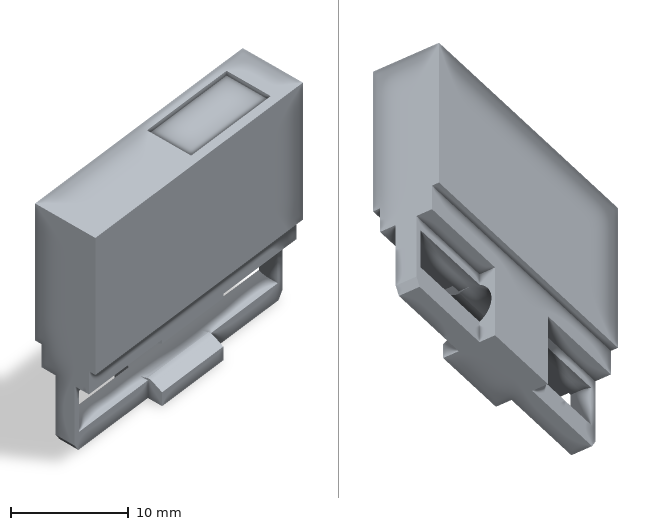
import cadquery as cq
import math

length = 26.8
housing_width = 6.8
total_height = 25.5
neck_width = 5.35
neck_top = 10.08
neck_bottom = 7.48

web_width = 2.15
block_length = 7.9
web_chamfer_length = 0.48
web_chamfer_height = 0.8

slot_radius = 2.3
slot_centre_z = 4.3
lip_start_x = 1.02
lip_crest_x = 1.4
lip_crest_half_height = 2.077
flare_start_x = 1.75
flare_start_half_height = 2.238
flare_half_height = 2.73

web_end_wall = 0.6

recess_width = 4.98
recess_length = 10.26
recess_centre_y = 5.15
recess_depth = 0.54


def box_between(width, box_length, bottom, top):
    """Box centred in X and Y, spanning two heights."""
    box = cq.Workplane("XY").box(width, box_length, top - bottom, centered=(True, True, False))
    return box.translate((0, 0, bottom))


def make_web():
    """Thin plate with bevelled lower corners, reaching up to the neck."""
    half_length = length / 2
    bevel_y = half_length - web_chamfer_length
    outline = [
        (-bevel_y, 0),
        (bevel_y, 0),
        (half_length, web_chamfer_height),
        (half_length, neck_bottom),
        (-half_length, neck_bottom),
        (-half_length, web_chamfer_height),
    ]
    return cq.Workplane("YZ").polyline(outline).close().extrude(web_width / 2, both=True)


def make_slot():
    """Cutter for the rail slot through the block."""
    mouth_x = neck_width / 2
    lip_start_half_height = math.sqrt(slot_radius**2 - lip_start_x**2)
    profile = (
        cq.Workplane("XZ")
        .moveTo(lip_start_x, lip_start_half_height)
        .threePointArc((-slot_radius, 0), (lip_start_x, -lip_start_half_height))
        .threePointArc((lip_crest_x, -lip_crest_half_height), (flare_start_x, -flare_start_half_height))
        .lineTo(mouth_x, -flare_half_height)
        .lineTo(mouth_x, flare_half_height)
        .lineTo(flare_start_x, flare_start_half_height)
        .threePointArc((lip_crest_x, lip_crest_half_height), (lip_start_x, lip_start_half_height))
        .close()
    )
    slot = profile.extrude(block_length / 2, both=True)
    return slot.translate((0, 0, slot_centre_z))


def make_window():
    """Cutter for the web window, round towards -X and flat towards +X."""
    web_face_x = web_width / 2
    profile = (
        cq.Workplane("XZ")
        .moveTo(0, slot_radius)
        .threePointArc((-slot_radius, 0), (0, -slot_radius))
        .lineTo(web_face_x, -slot_radius)
        .lineTo(web_face_x, slot_radius)
        .close()
    )
    window = profile.extrude(length / 2 - web_end_wall, both=True)
    return window.translate((0, 0, slot_centre_z))


def make_recess():
    """Cutter for the rectangular recess in the top face."""
    recess = box_between(recess_width, recess_length, total_height - recess_depth, total_height)
    return recess.translate((0, recess_centre_y, 0))


housing = box_between(housing_width, length, neck_top, total_height)
neck = box_between(neck_width, length, neck_bottom, neck_top)
block = box_between(neck_width, block_length, 0, neck_bottom).cut(make_slot())

web = make_web().cut(make_window()).cut(box_between(web_width, block_length, 0, neck_bottom))

result = housing.union(neck).union(block).union(web).cut(make_recess())